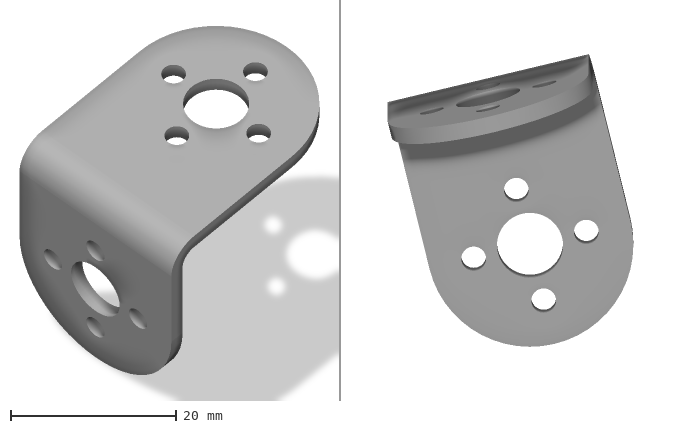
import cadquery as cq

width = 25.0
top_length = 34.0
front_height = 28.5
thickness = 2.0
bend_inner_radius = 2.0
center_hole_diameter = 8.0
small_hole_diameter = 3.0
small_hole_offset = 7.0

end_radius = width / 2
bend_outer_radius = bend_inner_radius + thickness
top_center = top_length - end_radius
front_center = front_height - end_radius


def rounded_leg(plane, length):
    """Flat leg from the outer corner to a full-round end, extruded through its thickness."""
    straight = length - end_radius
    return (
        cq.Workplane(plane)
        .moveTo(-end_radius, 0)
        .lineTo(end_radius, 0)
        .lineTo(end_radius, straight)
        .threePointArc((0, length), (-end_radius, straight))
        .close()
        .extrude(thickness)
    )


def hole_pattern(plane, center):
    """Cutters for a large hole with four small holes around it."""
    middle = cq.Workplane(plane).center(0, center)
    large = middle.circle(center_hole_diameter / 2).extrude(thickness)
    small = (
        middle.polarArray(small_hole_offset, 0, 360, 4)
        .circle(small_hole_diameter / 2)
        .extrude(thickness)
    )
    return large.union(small)


top_plane = cq.Plane(origin=(0, 0, -thickness), xDir=(1, 0, 0), normal=(0, 0, 1))
front_plane = cq.Plane(origin=(0, 0, 0), xDir=(1, 0, 0), normal=(0, 1, 0))

bracket = rounded_leg(top_plane, top_length).union(rounded_leg(front_plane, front_height))

outer_corner = cq.selectors.NearestToPointSelector((0, 0, 0))
inner_corner = cq.selectors.NearestToPointSelector((0, thickness, -thickness))
bracket = bracket.edges(outer_corner).fillet(bend_outer_radius)
bracket = bracket.edges(inner_corner).fillet(bend_inner_radius)

bracket = bracket.cut(hole_pattern(top_plane, top_center))
result = bracket.cut(hole_pattern(front_plane, front_center))